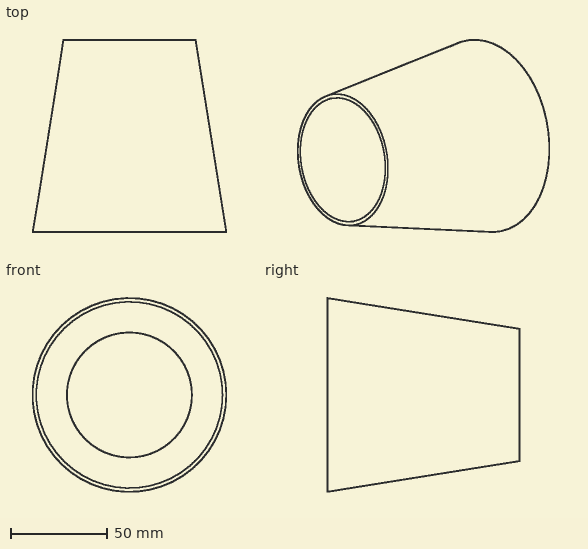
import cadquery as cq

large_diameter = 101.0
small_diameter = 69.0
wall = 2.0
length = 100.0

half_length = length / 2


def cone(large_end_diameter, small_end_diameter):
    """Solid truncated cone along Y, centred on the origin."""
    return (
        cq.Workplane("XY")
        .moveTo(0, -half_length)
        .lineTo(large_end_diameter / 2, -half_length)
        .lineTo(small_end_diameter / 2, half_length)
        .lineTo(0, half_length)
        .close()
        .revolve(360, (0, 0, 0), (0, 1, 0))
    )


outer = cone(large_diameter, small_diameter)
bore = cone(large_diameter - 2 * wall, small_diameter - 2 * wall)

result = outer.cut(bore)